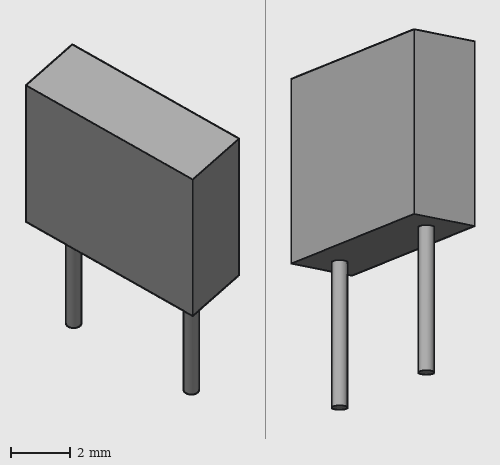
import cadquery as cq

total_height = 11.6
case_width = 7.2
case_depth = 2.5
case_height = 6.5

lead_diameter = 0.55
lead_pitch = 5.08
lead_length = total_height - case_height


def make_case():
    """Rectangular case standing on the Z = 0 plane."""
    return cq.Workplane("XY").box(case_width, case_depth, case_height, centered=(True, True, False))


def make_lead(x):
    """Round lead hanging from the underside of the case at the given X."""
    return cq.Workplane("XY").center(x, 0).circle(lead_diameter / 2).extrude(-lead_length)


case = make_case()
leads = [make_lead(side * lead_pitch / 2) for side in (-1, 1)]

result = cq.Compound.makeCompound([case.val(), *[lead.val() for lead in leads]])